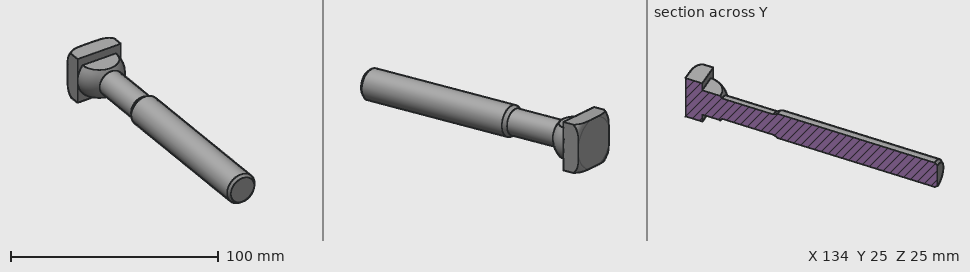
import cadquery as cq
import math

total_length = 134.0

head_width = 25.0
head_thickness = 9.0
head_face_radius = 13.0
head_rounding_radius = 5.0

ball_radius = head_width / 2
ball_flat_spacing = 16.0

neck_diameter = 13.5
thread_diameter = 16.0
thread_length = 85.0
shoulder_angle = 30.0
end_chamfer_length = 1.5

neck_radius = neck_diameter / 2
thread_radius = thread_diameter / 2
shoulder_length = (thread_radius - neck_radius) / math.tan(math.radians(shoulder_angle))
thread_start = total_length - thread_length


def revolve_about_x(outline):
    """Turn a closed XY outline one full turn about the X axis."""
    return outline.close().revolve(360, (0, 0, 0), (1, 0, 0))


def make_head():
    """Square head whose front corners are rounded off by a turned blank."""
    block = cq.Workplane("XY").box(
        head_thickness, head_width, head_width, centered=(False, True, True)
    )
    blank_radius = head_face_radius + head_rounding_radius
    blank = revolve_about_x(
        cq.Workplane("XY")
        .lineTo(0, head_face_radius)
        .radiusArc((head_rounding_radius, blank_radius), head_rounding_radius)
        .lineTo(head_thickness, blank_radius)
        .lineTo(head_thickness, 0)
    )
    return block.intersect(blank)


def make_ball_base():
    """Half ball behind the head, cut flat on its upper and lower sides."""
    ball = cq.Workplane("XY").sphere(ball_radius).translate((head_thickness, 0, 0))
    slab = (
        cq.Workplane("XY")
        .box(ball_radius, head_width, ball_flat_spacing, centered=(False, True, True))
        .translate((head_thickness, 0, 0))
    )
    return ball.intersect(slab)


def make_shank():
    """Neck, conical shoulder and thread-size rod with its end chamfered down to the neck size."""
    return revolve_about_x(
        cq.Workplane("XY")
        .moveTo(head_thickness, 0)
        .lineTo(head_thickness, neck_radius)
        .lineTo(thread_start - shoulder_length, neck_radius)
        .lineTo(thread_start, thread_radius)
        .lineTo(total_length - end_chamfer_length, thread_radius)
        .lineTo(total_length, neck_radius)
        .lineTo(total_length, 0)
    )


result = make_head().union(make_ball_base()).union(make_shank())